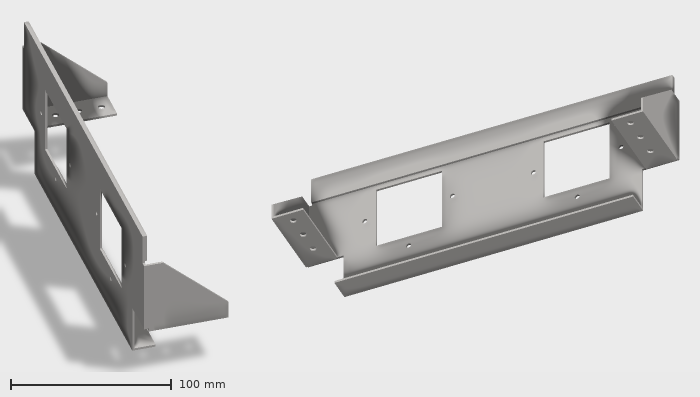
import cadquery as cq

length = 253.5
depth = 55.0
height = 100.0
sheet = 1.5

hem_inset = 3.5
hem_height = 18.8
shoulder_drop = 20.0
shoulder_z = height - shoulder_drop
ear_bottom_z = 32.5
lower_inset = 24.8
lower_length = length - 2 * lower_inset

flange_depth = 15.2
wall_top_depth = 12.2
wall_rear_top_z = 41.5
shelf_z = 30.2
shelf_width = 21.5
bend_relief_y = 2 * sheet

window_size = 45.0
window_x = 57.0
window_z = 55.2
screw_x = 57.5
screw_diameter = 3.3
screw_offset = 30.0
mount_diameter = 4.3
mount_inset = 11.7
mount_first_y = 18.0
mount_pitch = 15.0
mount_count = 3


def block(x_size, y_range, z_range, x_center=0):
    """Box centred on x_center, spanning the given Y and Z ranges."""
    y_size = y_range[1] - y_range[0]
    z_size = z_range[1] - z_range[0]
    box = cq.Workplane("XY").box(x_size, y_size, z_size, centered=(True, False, False))
    return box.translate((x_center, y_range[0], z_range[0]))


def front_plate():
    """Stepped plate with a doubled hem along its top and a flange along its bottom."""
    upper = block(length - 2 * hem_inset, (0, sheet), (ear_bottom_z, height))
    ears = block(length, (0, sheet), (ear_bottom_z, shoulder_z))
    lower = block(lower_length, (0, sheet), (0, ear_bottom_z))
    hem = block(length - 2 * hem_inset, (sheet, 2 * sheet), (height - hem_height, height))
    flange = block(lower_length, (0, flange_depth), (0, sheet))
    return upper.union(ears).union(lower).union(hem).union(flange)


def side_bracket(side):
    """Sloped side wall with an inward shelf; side is -1 for left, +1 for right."""
    wall = (
        cq.Workplane("YZ")
        .polyline([
            (0, ear_bottom_z),
            (bend_relief_y, ear_bottom_z),
            (bend_relief_y, shelf_z),
            (depth, shelf_z),
            (depth, wall_rear_top_z),
            (wall_top_depth, shoulder_z),
            (0, shoulder_z),
        ])
        .close()
        .extrude(sheet)
        .translate((side * (length - sheet) / 2 - sheet / 2, 0, 0))
    )
    shelf_center = side * (length - shelf_width) / 2
    shelf = block(shelf_width, (bend_relief_y, depth), (shelf_z, shelf_z + sheet), shelf_center)
    mount_x = side * (length / 2 - mount_inset)
    mounts = (
        cq.Workplane("XY", origin=(0, 0, shelf_z))
        .pushPoints([(mount_x, mount_first_y + i * mount_pitch) for i in range(mount_count)])
        .circle(mount_diameter / 2)
        .extrude(sheet)
    )
    return wall.union(shelf.cut(mounts))


def window_cutter(side):
    """Square window with screw holes left, right and below, centred slightly outboard of it."""
    center_x = side * window_x
    screw_center_x = side * screw_x
    window = block(
        window_size,
        (0, sheet),
        (window_z - window_size / 2, window_z + window_size / 2),
        center_x,
    )
    screws = (
        cq.Workplane("XZ")
        .pushPoints([
            (screw_center_x - screw_offset, window_z),
            (screw_center_x + screw_offset, window_z),
            (screw_center_x, window_z - screw_offset),
        ])
        .circle(screw_diameter / 2)
        .extrude(-sheet)
    )
    return window.union(screws)


body = front_plate()
for side in (-1, 1):
    body = body.union(side_bracket(side)).cut(window_cutter(side))

result = body.clean()